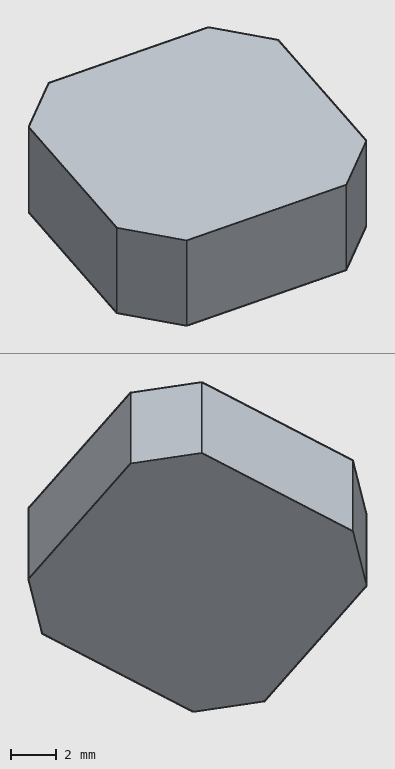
import cadquery as cq

side = 12.5
height = 4.83
corner_cut = 2.25

result = (
    cq.Workplane("XY")
    .box(side, side, height, centered=(True, True, False))
    .edges("|Z")
    .chamfer(corner_cut)
)